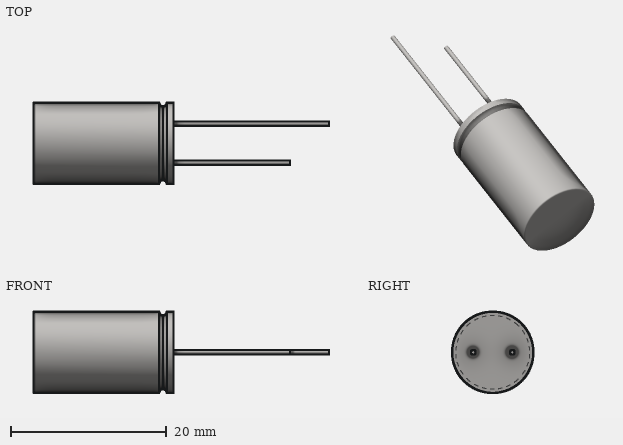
import cadquery as cq
import math


overall_length = 38.0
can_diameter = 10.5
body_length = 18.0
end_fillet = 0.2
groove_radius = 0.5
flange_width = 0.87
lead_diameter = 0.6
lead_pitch = 5.0
lead_difference = 5.0

can_radius = can_diameter / 2
closed_end = -overall_length / 2
open_end = closed_end + body_length
groove_center = open_end - flange_width - groove_radius
groove_floor = can_radius - groove_radius
long_lead_length = overall_length - body_length
short_lead_length = long_lead_length - lead_difference
arc_offset = groove_radius * math.sin(math.radians(45))


def make_half(end, side):
    """Solid of revolution from the groove center to x = end, with half of the
    round groove; side is -1 when the end lies at -X and +1 when it lies at +X."""
    return (
        cq.Workplane("XZ")
        .moveTo(end, 0)
        .lineTo(end, can_radius)
        .lineTo(groove_center + side * groove_radius, can_radius)
        .threePointArc(
            (groove_center + side * arc_offset, can_radius - arc_offset),
            (groove_center, groove_floor),
        )
        .lineTo(groove_center, 0)
        .close()
        .revolve(360, (0, 0, 0), (1, 0, 0))
    )


def make_can():
    """Can with a rounded closed end, up to the bottom of the groove."""
    return make_half(closed_end, -1).faces("<X").edges().fillet(end_fillet)


def make_seal():
    """End seal with a plain rim, from the bottom of the groove to the lead side."""
    return make_half(open_end, 1)


def make_lead(y, length):
    """Round wire standing on the outer face of the seal."""
    return cq.Workplane("YZ", origin=(open_end, y, 0)).circle(lead_diameter / 2).extrude(length)


can = make_can()
seal = make_seal()

lead_layout = [
    (lead_pitch / 2, long_lead_length),
    (-lead_pitch / 2, short_lead_length),
]
leads = [make_lead(y, length).val() for y, length in lead_layout]

result = cq.Compound.makeCompound([can.val(), seal.val(), *leads])